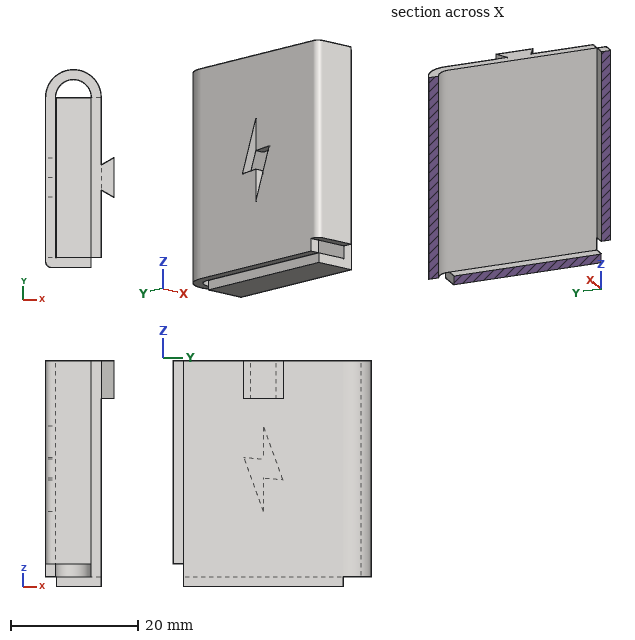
import cadquery as cq
import math

wall = 1.6
inner_width = 5.6
outer_width = inner_width + 2 * wall
outer_radius = outer_width / 2
inner_radius = inner_width / 2
length = 31.2
height = 35.6
arc_center_y = length - outer_radius
front_corner_radius = 1.0
inner_face_x = outer_width - wall

floor_thickness = 1.55
floor_gap = 0.1
corner_overlap = 0.01
step_depth = wall - corner_overlap
slot_top = 3.6

rail_depth = 2.0
rail_base_width = 4.0
rail_flank_angle = 30.0
rail_height = 6.0

bolt_tip_height = 6.72
bolt_notch_height = 1.5
bolt_wing_reach = 3.06
bolt_wing_height = 1.74

center_y = (wall + arc_center_y) / 2
center_z = (floor_thickness + height) / 2


def block(x_range, y_range, z_range):
    """Axis-aligned box given its limits along each axis."""
    limits = (x_range, y_range, z_range)
    sizes = [high - low for low, high in limits]
    corner = tuple(low for low, high in limits)
    return cq.Workplane("XY").box(*sizes, centered=False).translate(corner)


def round_ended_prism(margin, radius):
    """Full-height sleeve-shaped prism, inset by margin, above the floor."""
    left = margin
    right = outer_width - margin
    return (
        cq.Workplane("XY")
        .workplane(offset=floor_thickness)
        .moveTo(left, margin)
        .lineTo(right, margin)
        .lineTo(right, arc_center_y)
        .threePointArc((outer_radius, arc_center_y + radius), (left, arc_center_y))
        .close()
        .extrude(height - floor_thickness)
    )


def make_sleeve():
    outer = round_ended_prism(0, outer_radius)
    outer = outer.edges("|Z and <X and <Y").fillet(front_corner_radius)
    sleeve = outer.cut(round_ended_prism(wall, inner_radius))
    corner_step = block((inner_face_x, outer_width), (0, step_depth), (0, height))
    slot_across_front = block((0, outer_width), (0, step_depth), (0, slot_top))
    slot_into_cavity = block((wall, inner_face_x), (0, wall), (0, slot_top))
    return sleeve.cut(corner_step).cut(slot_across_front).cut(slot_into_cavity)


def make_floor():
    floor_y = (step_depth, arc_center_y)
    return block((wall + floor_gap, outer_width), floor_y, (0, floor_thickness))


def make_rail():
    half_base = rail_base_width / 2
    half_tip = half_base + rail_depth * math.tan(math.radians(rail_flank_angle))
    tip_x = outer_width + rail_depth
    outline = [
        (inner_face_x, center_y - half_base),
        (outer_width, center_y - half_base),
        (tip_x, center_y - half_tip),
        (tip_x, center_y + half_tip),
        (outer_width, center_y + half_base),
        (inner_face_x, center_y + half_base),
    ]
    rail_bottom = cq.Workplane("XY").workplane(offset=height - rail_height)
    return rail_bottom.polyline(outline).close().extrude(rail_height)


def make_bolt_window():
    half_outline = [
        (0, bolt_tip_height),
        (0, bolt_notch_height),
        (-bolt_wing_reach, bolt_wing_height),
    ]
    outline = half_outline + [(-y, -z) for y, z in half_outline]
    bolt = cq.Workplane("YZ").polyline(outline).close().extrude(wall)
    return bolt.translate((0, center_y, center_z))


result = make_sleeve().union(make_floor()).union(make_rail()).cut(make_bolt_window())